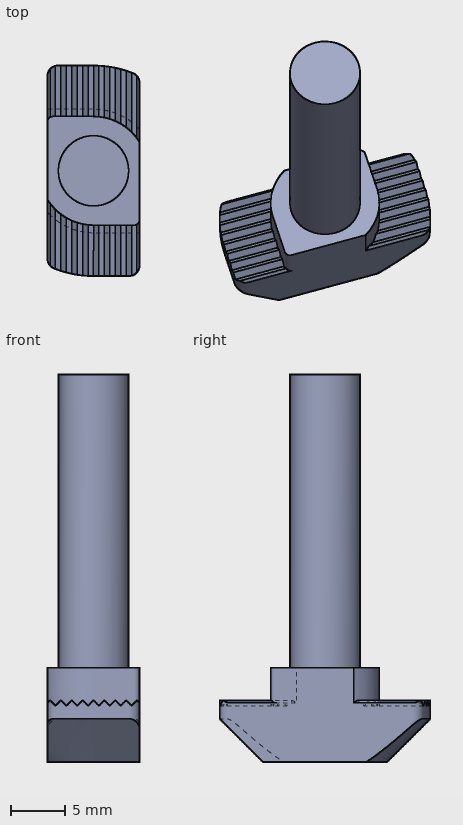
import cadquery as cq
import math

shank_diameter = 6.47
total_height = 35.7

head_width = 8.5
head_length = 19.4
neck_length = 10.0
neck_top = 8.7
tooth_crest = 5.7
bevel_height = 4.0
wing_corner_radius = 1.0
neck_corner_radius = 0.5

tooth_pitch = 1.0
tooth_depth = tooth_pitch / 2

half_width = head_width / 2
half_length = head_length / 2
bottom_half_length = half_length - bevel_height


def hammer_outline(half_span, base_height):
    """Rectangle with its +X+Y and -X-Y corners rounded by an arc about the Z axis."""
    side_y = math.sqrt(half_span**2 - half_width**2)
    mid_angle = (math.pi / 2 + math.atan2(side_y, half_width)) / 2
    mid_x = half_span * math.cos(mid_angle)
    mid_y = half_span * math.sin(mid_angle)
    return (
        cq.Workplane("XY", origin=(0, 0, base_height))
        .moveTo(-half_width, half_span)
        .lineTo(0, half_span)
        .threePointArc((mid_x, mid_y), (half_width, side_y))
        .lineTo(half_width, -half_span)
        .lineTo(0, -half_span)
        .threePointArc((-mid_x, -mid_y), (-half_width, -side_y))
        .close()
    )


def bevel_profile(plane):
    """Half section of the beveled head, from the Z axis out to the wing tip."""
    return (
        cq.Workplane(plane)
        .lineTo(bottom_half_length, 0)
        .lineTo(half_length, bevel_height)
        .lineTo(half_length, tooth_crest)
        .lineTo(0, tooth_crest)
        .close()
    )


def make_bevel_envelope():
    """Space inside the bevels: conical at the rounded corners, planar at the square ones."""
    cone = bevel_profile("XZ").revolve(360, (0, 0), (0, 1))
    wedge = bevel_profile("YZ").extrude(-half_width)
    opposite_wedge = wedge.rotate((0, 0, 0), (0, 0, 1), 180)
    return cone.union(wedge).union(opposite_wedge)


def make_wings():
    blank = hammer_outline(half_length, 0).extrude(tooth_crest)
    blank = blank.edges("|Z and (<X or >X)").fillet(wing_corner_radius)
    return blank.intersect(make_bevel_envelope())


def cut_serrations(body):
    """Cut V grooves between crests; one crest lies on the part's centre plane."""
    grooves_per_side = math.ceil(half_width / tooth_pitch)
    for index in range(-grooves_per_side, grooves_per_side):
        crest_x = index * tooth_pitch
        groove = (
            cq.Workplane("XZ", origin=(0, half_length, 0))
            .moveTo(crest_x, tooth_crest)
            .lineTo(crest_x + tooth_pitch / 2, tooth_crest - tooth_depth)
            .lineTo(crest_x + tooth_pitch, tooth_crest)
            .close()
            .extrude(head_length)
        )
        body = body.cut(groove)
    return body


def make_neck():
    neck_base = tooth_crest - tooth_depth
    neck = hammer_outline(neck_length / 2, neck_base).extrude(neck_top - neck_base)
    for side in (-1, 1):
        square_corner = (side * half_width, -side * neck_length / 2, neck_base)
        neck = neck.edges("|Z").edges(cq.NearestToPointSelector(square_corner)).fillet(neck_corner_radius)
    return neck


def make_shank():
    base = cq.Workplane("XY", origin=(0, 0, neck_top))
    return base.circle(shank_diameter / 2).extrude(total_height - neck_top)


result = cut_serrations(make_wings()).union(make_neck()).union(make_shank())